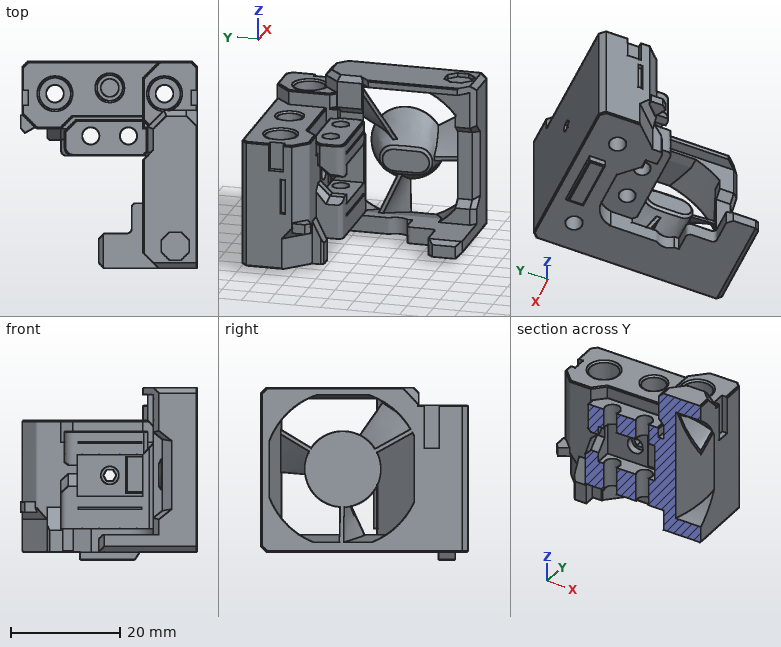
import cadquery as cq

WIDTH = 32.05
DEPTH = 37.9
HEIGHT = 30.1
EDGE_CHAMFER = 1.02
SMALL_CHAMFER = 0.23

BODY_TOP = 24.1
BODY_FRONT = 25.6
CORNER_CUT = 2.6
CORNER_FILLET = 0.75
RAISED_TOP = 26.87
RAISED_LEFT = 22.1
RAISED_CORNER = 3.05
RAISED_FRONT_CORNER = 1.5
BASE_CUT = 4.55
BASE_CUT_TOP = 5.95
BASE_CUT_APEX = 8.15

RECESS_LEFT = 9.35
RECESS_BACK = 29.3
RECESS_SLOPE = 3.25
RECESS_RADIUS = 4.45

SCREW_LEFT_X = 6.0
SCREW_RIGHT_X = 26.05
SCREW_Y = 32.0
SCREW_DIAMETER = 3.2
HEAD_DIAMETER = 5.8
HEAD_SEAT_LEFT = 15.9
HEAD_SEAT_RIGHT = 23.2
RIM_CHAMFER = 0.35
BORE_X = 16.05
BORE_Y = 33.05
BORE_DIAMETER = 4.7
BORE_INNER_DIAMETER = 3.3
BORE_DEPTH = 5.7
BORE_INNER_DEPTH = 1.15

FOOT_LEFT = 4.55
FOOT_RIGHT = 7.4
FOOT_FRONT = 23.5
FOOT_FRONT_TOP = 4.0
FOOT_TOP = 8.22
FOOT_CHAMFER = 0.45
TAB_LEFT = -0.3
TAB_REAR = 28.05
TAB_BEVEL_Y = 25.7
TAB_TIP_X = 0.5
TAB_TIP_Y = 24.8
TAB_BOTTOM = 7.3
TAB_TOP = 9.17
BAR_LEFT = 10.55
BAR_RIGHT = 21.53
BAR_SLOPE = 0.95
BAR_HEIGHT = 1.5
BAR_REAR = 35.6
BAR_WIDTH = 3.1

NOTCH_WIDTH = 2.73
NOTCH_DEPTH = 1.1
NOTCH_Y = 31.23
NOTCH_BOTTOM = 18.95
SLIT_Y = 29.52
SLIT_WIDTH = 0.9
SLIT_BOTTOM = 10.75
SLIT_HEIGHT = 6.6
SLIT_DEPTH = 0.75

CLAMP_LEFT = 7.1
CLAMP_UPPER_LEFT = 7.75
CLAMP_RIGHT = 24.0
CLAMP_UPPER_RIGHT = 22.95
CLAMP_FRONT = 20.6
CLAMP_BOTTOM = 4.3
CLAMP_TOP = 22.15
CLAMP_MIDDLE = 14.02
CLAMP_LOWER_FILLET = 1.0
CLAMP_UPPER_FILLET = 1.5
CLAMP_CORNER = 0.72
PILLAR_TOP = 19.9
SHELF_BACK = 27.75
GROOVE_BOTTOM = 20.1
GROOVE_WIDTH = 0.55
GROOVE_CORNER_LEFT = 2.1
GROOVE_CORNER_RIGHT = 0.9
POCKET_LEFT = 10.1
POCKET_RIGHT = RAISED_LEFT
POCKET_BOTTOM = 10.25
POCKET_TOP = 17.8
POCKET_BACK = 26.53
MOUTH_BOTTOM = 12.05
MOUTH_REAR_BOTTOM = 14.3
MOUTH_TOP = 15.9
MOUTH_SLOPE_Y = 23.3
FLARE_START = 8.4
FLARE_LOWER = 1.2
FLARE_UPPER = 1.0
FLARE_SHIFT = 0.38
PAD_LEFT = 18.95
PAD_BOTTOM = 10.75
PAD_TOP = 17.45
PAD_THICKNESS = 0.6
CLAMP_HOLE_DIAMETER = 3.1
CLAMP_HOLES_X = (12.55, 19.45)
CLAMP_HOLE_Y = 24.25
CLAMP_SLIT_HEIGHT = 0.35
CLAMP_SLIT_LEFT = 10.25
CLAMP_SLIT_LENGTH = 11.6
CLAMP_SLITS_Z = (8.0, 20.05)
CROSS_HOLE_Z = 14.02
CROSS_HOLE_HEX = 2.35
CROSS_HOLE_SEAT = 3.3
CROSS_HOLE_SEAT_DEPTH = 1.5

FRAME_LEFT = CLAMP_RIGHT
FRAME_REAR = 28.9
FLOOR_TOP = 3.2
CEILING = 28.1
ROOF_LEFT = RAISED_LEFT
ROOF_UNDERSIDE = 28.8
ROOF_REAR = 21.68
ROOF_CORNER = 1.85
ROOF_REAR_SLOPE = 3.05
ROOF_REAR_CORNER = 3.37
COLUMN_LEFT = CLAMP_UPPER_RIGHT
COLUMN_RIGHT = 28.27
COLUMN_SIDE_REAR = 25.92
COLUMN_UNDERSIDE_LEFT = 25.1
COLUMN_UNDERSIDE_RIGHT = 22.95
POST_DEPTH = 3.8
POST_CORNER_X = 25.0
POST_NOTCH_X = 25.62
POST_NOTCH_LOW = 7.55
POST_NOTCH_HIGH = 20.6
POST_NOTCH_FRONT_X = 27.35
POST_NOTCH_FRONT_LOW = 7.85
POST_NOTCH_FRONT_HIGH = 20.3
POST_NOTCH_SLOPE = 0.8
ARM_LEFT = 14.0
ARM_DEPTH = 6.45
ARM_END_CHAMFER = 0.85
STEP_LEFT = 20.0
STEP_DEPTH = 11.98
STEP_FILLET = 0.85
SCOOP_X = 22.0
SCOOP_Y = 14.63
SCOOP_RADIUS = 2.65
SCOOP_FILLET = 1.15
FAN_Y = 14.97
FAN_Z = 15.15
FAN_RADIUS = 14.4
FAN_REAR_INNER = 21.22
FUNNEL_START = 26.08
EXIT_FRONT = 1.5
EXIT_REAR = 28.05
EXIT_FLOOR = 1.8
EXIT_CEILING = 28.8
HUB_RADIUS = 6.97
CAP_X = 25.0
CAP_Y = 13.45
CAP_Z = 14.1
CAP_LENGTH = 9.78
CAP_HEIGHT = 5.05
CAP_CHAMFER = 0.45
VANE_COUNT = 3
VANE_X = 26.53
VANE_THICKNESS = 0.75
VANE_LENGTH = 15.9
VANE_FRONT_ANGLE = 55.0
VANE_REAR_ANGLE = 29.0
OCTAGON_X = 28.0
OCTAGON_Y = 4.1
OCTAGON_FLATS = 5.15
OCTAGON_DEPTH = 0.75


def box(x0, x1, y0, y1, z0, z1):
    """Box between two corner positions."""
    return cq.Workplane("XY").box(x1 - x0, y1 - y0, z1 - z0, centered=False).translate((x0, y0, z0))


def plan(points, z0, z1):
    """Vertical prism with the given XY outline."""
    return cq.Workplane("XY").workplane(offset=z0).polyline(points).close().extrude(z1 - z0)


def front_prism(points, y0, y1):
    """Prism along Y with the given XZ outline."""
    return cq.Workplane("XZ").workplane(offset=-y1).polyline(points).close().extrude(y1 - y0)


def side(points, x0, x1):
    """Prism along X with the given YZ outline."""
    return cq.Workplane("YZ").workplane(offset=x0).polyline(points).close().extrude(x1 - x0)


def corners(u0, u1, v0, v1):
    """Corner points of a rectangle in order around it."""
    return [(u0, v0), (u1, v0), (u1, v1), (u0, v1)]


def tetrahedron(*points):
    """Solid with four corner points."""
    faces = []
    for skipped in points:
        triangle = [cq.Vector(p) for p in points if p != skipped]
        faces.append(cq.Face.makeFromWires(cq.Wire.makePolygon(triangle, close=True)))
    return cq.Workplane(cq.Solid.makeSolid(cq.Shell.makeShell(faces)))


def cylinder(x, y, z0, z1, diameter):
    """Vertical cylinder."""
    return cq.Workplane("XY").workplane(offset=z0).center(x, y).circle(diameter / 2).extrude(z1 - z0)


def rear_block():
    """Main block, its taller right part and the cuts along its lower front."""
    right_rear = [(WIDTH, DEPTH - EDGE_CHAMFER), (WIDTH - EDGE_CHAMFER, DEPTH)]
    outline = [
        (0, BODY_FRONT + CORNER_CUT),
        (CORNER_CUT, BODY_FRONT),
        (WIDTH, BODY_FRONT),
        *right_rear,
        (EDGE_CHAMFER, DEPTH),
        (0, DEPTH - EDGE_CHAMFER),
    ]
    block = plan(outline, 0, BODY_TOP)
    corner = cq.selectors.NearestToPointSelector((CORNER_CUT, BODY_FRONT, BODY_TOP / 2))
    block = block.edges(corner).fillet(CORNER_FILLET)

    shelf = [
        (CLAMP_LEFT, BODY_FRONT),
        (CLAMP_LEFT + SHELF_BACK - BODY_FRONT, SHELF_BACK),
        (RAISED_LEFT, SHELF_BACK),
        (RAISED_LEFT, BODY_FRONT),
    ]
    block = block.cut(plan(shelf, GROOVE_BOTTOM, BODY_TOP))
    block = block.faces("<Z or >Z").chamfer(SMALL_CHAMFER)

    raised = [
        (RAISED_LEFT, BODY_FRONT + RAISED_FRONT_CORNER),
        (RAISED_LEFT + RAISED_FRONT_CORNER, BODY_FRONT),
        (WIDTH, BODY_FRONT),
        *right_rear,
        (RAISED_LEFT + RAISED_CORNER, DEPTH),
        (RAISED_LEFT, DEPTH - RAISED_CORNER),
    ]
    block = block.union(plan(raised, SMALL_CHAMFER, RAISED_TOP).faces(">Z").chamfer(SMALL_CHAMFER))

    wide = [(0, BODY_FRONT), (BASE_CUT, BODY_FRONT), (0, BODY_FRONT + BASE_CUT)]
    narrow = [(0, BODY_FRONT), (CORNER_CUT, BODY_FRONT), (0, BODY_FRONT + CORNER_CUT)]
    base_cut = plan(wide, 0, BASE_CUT_TOP)
    slope = (
        cq.Workplane("XY").workplane(offset=BASE_CUT_TOP).polyline(wide).close()
        .workplane(offset=BASE_CUT_APEX - BASE_CUT_TOP).polyline(narrow).close()
        .loft(ruled=True)
    )
    return block.cut(base_cut).cut(slope)


def base_recess():
    """Recess under the clamp, with a sloped left end and a rounded right end."""
    left = RECESS_LEFT
    clearance = 1.15
    front = BODY_FRONT - clearance
    back = RECESS_BACK
    radius = RECESS_RADIUS
    diagonal = radius * 0.5 ** 0.5
    return (
        cq.Workplane("XY")
        .moveTo(left, front)
        .lineTo(left, back - RECESS_SLOPE)
        .lineTo(left + RECESS_SLOPE, back)
        .lineTo(CLAMP_RIGHT - radius, back)
        .threePointArc(
            (CLAMP_RIGHT - radius + diagonal, back - radius + diagonal),
            (CLAMP_RIGHT, back - radius),
        )
        .lineTo(CLAMP_RIGHT, front)
        .close()
        .extrude(CLAMP_BOTTOM)
    )


def front_foot():
    """Sloped foot beside the clamp and the small tab on the left corner."""
    joint = BODY_FRONT + 0.38
    profile = [
        (joint, 0),
        (FOOT_FRONT, 0),
        (FOOT_FRONT, FOOT_FRONT_TOP),
        (BODY_FRONT, FOOT_TOP),
        (joint, FOOT_TOP),
    ]
    foot = side(profile, FOOT_LEFT, FOOT_RIGHT)
    foot = foot.edges("|Z and <X and <Y").chamfer(FOOT_CHAMFER)
    tab_outline = [
        (TAB_LEFT, TAB_REAR),
        (TAB_LEFT, TAB_BEVEL_Y),
        (TAB_TIP_X, TAB_TIP_Y),
        (CORNER_CUT, joint),
        (TAB_TIP_X, TAB_REAR),
    ]
    return foot.union(plan(tab_outline, TAB_BOTTOM, TAB_TOP))


def locating_bar():
    """Bar below the block with one sloped end."""
    joint = 0.38
    profile = [
        (BAR_LEFT, joint),
        (BAR_LEFT, -BAR_HEIGHT),
        (BAR_RIGHT - BAR_SLOPE, -BAR_HEIGHT),
        (BAR_RIGHT, 0),
        (BAR_RIGHT, joint),
    ]
    bar = front_prism(profile, BAR_REAR - BAR_WIDTH, BAR_REAR)
    return bar.faces("<Z").chamfer(SMALL_CHAMFER)


def clamp():
    """Clamp body, and the C-shaped opening to cut from it towards the front and the left."""
    back = SHELF_BACK
    lower = box(CLAMP_LEFT, CLAMP_RIGHT, CLAMP_FRONT, back, CLAMP_BOTTOM, CLAMP_MIDDLE)
    lower = lower.edges("|Z and <X and <Y").fillet(CLAMP_LOWER_FILLET)
    lower = lower.edges("|Z and >X and <Y").chamfer(CLAMP_CORNER)
    upper_back = back - GROOVE_WIDTH
    upper = box(CLAMP_UPPER_LEFT, CLAMP_UPPER_RIGHT, CLAMP_FRONT, upper_back, CLAMP_MIDDLE, CLAMP_TOP)
    upper = upper.edges("|Z and <X and >Y").chamfer(GROOVE_CORNER_LEFT)
    upper = upper.edges("|Z and >X and >Y").chamfer(GROOVE_CORNER_RIGHT)
    upper = upper.edges("|Z and <X and <Y").fillet(CLAMP_UPPER_FILLET)
    upper = upper.edges("|Z and >X and <Y").chamfer(CLAMP_CORNER)
    upper = upper.faces(">Z").chamfer(SMALL_CHAMFER)
    wall = box(RAISED_LEFT, CLAMP_RIGHT, CLAMP_FRONT + CLAMP_CORNER, back, CLAMP_MIDDLE, GROOVE_BOTTOM)
    web = box(CLAMP_UPPER_LEFT, RAISED_LEFT, BODY_FRONT, back, CLAMP_MIDDLE, GROOVE_BOTTOM)
    pillar_outline = [
        (RAISED_LEFT, CLAMP_MIDDLE),
        (RAISED_LEFT, POCKET_TOP),
        (CLAMP_RIGHT, PILLAR_TOP),
        (CLAMP_RIGHT, CLAMP_MIDDLE),
    ]
    pillar = front_prism(pillar_outline, CLAMP_FRONT, back)
    pillar = pillar.edges("|Z and >X and <Y").chamfer(CLAMP_CORNER)
    body = lower.union(upper).union(wall).union(web).union(pillar)

    pocket = box(POCKET_LEFT, POCKET_RIGHT, CLAMP_FRONT, POCKET_BACK, POCKET_BOTTOM, POCKET_TOP)
    mouth_outline = [
        (CLAMP_FRONT, MOUTH_BOTTOM),
        (MOUTH_SLOPE_Y, MOUTH_BOTTOM),
        (BODY_FRONT, MOUTH_REAR_BOTTOM),
        (BODY_FRONT, POCKET_TOP),
        (MOUTH_SLOPE_Y, MOUTH_TOP),
        (CLAMP_FRONT, MOUTH_TOP),
    ]
    flared_outline = [
        (CLAMP_FRONT, MOUTH_BOTTOM - FLARE_LOWER),
        (MOUTH_SLOPE_Y + FLARE_SHIFT, MOUTH_BOTTOM - FLARE_LOWER),
        (BODY_FRONT, MOUTH_REAR_BOTTOM - FLARE_LOWER),
        (BODY_FRONT, POCKET_TOP + FLARE_UPPER),
        (MOUTH_SLOPE_Y - FLARE_SHIFT, MOUTH_TOP + FLARE_UPPER),
        (CLAMP_FRONT, MOUTH_TOP + FLARE_UPPER),
    ]
    mouth = side(mouth_outline, CLAMP_LEFT, POCKET_LEFT)
    flare = tapered((FLARE_START, mouth_outline), (CLAMP_LEFT, flared_outline))
    mouth = mouth.union(flare)
    return body, pocket.union(mouth)


def clamp_cuts():
    """Vertical clamp holes and thin front slits."""
    cuts = cq.Workplane("XY")
    for x in CLAMP_HOLES_X:
        cuts = cuts.union(cylinder(x, CLAMP_HOLE_Y, 0, CLAMP_TOP, CLAMP_HOLE_DIAMETER))
    for z in CLAMP_SLITS_Z:
        bottom = z - CLAMP_SLIT_HEIGHT / 2
        slit = box(0, CLAMP_SLIT_LENGTH, 0, SLIT_DEPTH, 0, CLAMP_SLIT_HEIGHT)
        cuts = cuts.union(slit.translate((CLAMP_SLIT_LEFT, CLAMP_FRONT, bottom)))
    return cuts


def clamp_pad():
    """Raised pad on the pocket back."""
    pad = box(PAD_LEFT, POCKET_RIGHT, POCKET_BACK - PAD_THICKNESS, POCKET_BACK, PAD_BOTTOM, PAD_TOP)
    return pad.faces("<Y").edges("<X or <Z").chamfer(SMALL_CHAMFER)


def cross_hole():
    """Hexagonal hole through the block with a round seat in the pocket."""
    axis = cq.Workplane("XZ").center(BORE_X, CROSS_HOLE_Z)
    hexagon = axis.workplane(offset=-DEPTH).polygon(6, CROSS_HOLE_HEX).extrude(DEPTH - POCKET_BACK)
    seat = (
        axis.workplane(offset=-POCKET_BACK - CROSS_HOLE_SEAT_DEPTH)
        .circle(CROSS_HOLE_SEAT / 2).extrude(CROSS_HOLE_SEAT_DEPTH)
    )
    return hexagon.union(seat)


def rim(x, y, top, diameter):
    """Cone that chamfers the rim of a hole."""
    return (
        cq.Workplane("XY").workplane(offset=top - RIM_CHAMFER).center(x, y)
        .circle(diameter / 2).workplane(offset=RIM_CHAMFER).circle(diameter / 2 + RIM_CHAMFER).loft()
    )


def block_holes():
    """Counterbored screw holes and the blind centre bore."""
    cuts = cq.Workplane("XY")
    for x, seat, top in (
        (SCREW_LEFT_X, HEAD_SEAT_LEFT, BODY_TOP),
        (SCREW_RIGHT_X, HEAD_SEAT_RIGHT, RAISED_TOP),
    ):
        cuts = cuts.union(cylinder(x, SCREW_Y, 0, top, SCREW_DIAMETER))
        cuts = cuts.union(cylinder(x, SCREW_Y, seat, top, HEAD_DIAMETER))
        cuts = cuts.union(rim(x, SCREW_Y, top, HEAD_DIAMETER))
    floor = BODY_TOP - BORE_DEPTH
    cuts = cuts.union(cylinder(BORE_X, BORE_Y, floor, BODY_TOP, BORE_DIAMETER))
    cuts = cuts.union(cylinder(BORE_X, BORE_Y, floor - BORE_INNER_DEPTH, floor, BORE_INNER_DIAMETER))
    return cuts.union(rim(BORE_X, BORE_Y, BODY_TOP, BORE_DIAMETER))


def side_cuts():
    """Notch at the top of each side face and the slit in the left face."""
    y0 = NOTCH_Y - NOTCH_WIDTH / 2
    y1 = NOTCH_Y + NOTCH_WIDTH / 2
    left = box(0, NOTCH_DEPTH, y0, y1, NOTCH_BOTTOM, BODY_TOP)
    right = box(WIDTH - NOTCH_DEPTH, WIDTH, y0, y1, NOTCH_BOTTOM, RAISED_TOP)
    slit = box(0, SLIT_DEPTH, SLIT_Y, SLIT_Y + SLIT_WIDTH, SLIT_BOTTOM, SLIT_BOTTOM + SLIT_HEIGHT)
    return left.union(right).union(slit)


def frame():
    """Plain fan frame with its roof overhang and the column towards the block."""
    c = EDGE_CHAMFER
    profile = [
        (c, 0), (FRAME_REAR, 0), (FRAME_REAR, HEIGHT - c), (FRAME_REAR - c, HEIGHT),
        (c, HEIGHT), (0, HEIGHT - c), (0, c),
    ]
    shell = side(profile, FRAME_LEFT, WIDTH).faces(">X").chamfer(SMALL_CHAMFER)
    roof_profile = [
        (0, ROOF_UNDERSIDE),
        (ROOF_REAR, ROOF_UNDERSIDE),
        (ROOF_REAR, HEIGHT),
        (c, HEIGHT),
        (0, HEIGHT - c),
    ]
    roof = side(roof_profile, ROOF_LEFT, FRAME_LEFT)
    roof = roof.edges("|Z and <X and >Y").chamfer(ROOF_CORNER)
    roof = roof.edges("|Y and <X and >Z").chamfer(SMALL_CHAMFER)
    shell = shell.union(roof)

    front_corner = POST_CORNER_X - ROOF_LEFT
    front_left = [(ROOF_LEFT, 0), (POST_CORNER_X, 0), (ROOF_LEFT, front_corner)]
    shell = shell.cut(plan(front_left, FLOOR_TOP, HEIGHT))
    rear_corner = ROOF_REAR_CORNER
    rear_left = [
        (FRAME_LEFT, FRAME_REAR),
        (FRAME_LEFT + rear_corner, FRAME_REAR),
        (FRAME_LEFT, FRAME_REAR - rear_corner),
    ]
    shell = shell.cut(plan(rear_left, RAISED_TOP, HEIGHT))

    point = (WIDTH, FRAME_REAR, RAISED_TOP)
    along_rear = (WIDTH - ROOF_REAR_SLOPE, FRAME_REAR, HEIGHT)
    along_side = (WIDTH, FRAME_REAR - ROOF_REAR_SLOPE, HEIGHT)
    top_corner = (WIDTH, FRAME_REAR, HEIGHT)
    shell = shell.cut(tetrahedron(point, along_rear, along_side, top_corner))

    column_outline = [
        (COLUMN_LEFT, FAN_REAR_INNER),
        (COLUMN_LEFT, COLUMN_SIDE_REAR),
        (COLUMN_LEFT + FRAME_REAR - COLUMN_SIDE_REAR, FRAME_REAR),
        (COLUMN_RIGHT, FRAME_REAR),
        (COLUMN_RIGHT, FAN_REAR_INNER),
    ]
    column = plan(column_outline, CLAMP_TOP, HEIGHT)
    column = column.faces(">Z").edges("not (>X or <Y)").chamfer(c)
    return shell.union(column)


def notch_outline(depth_x, low, high):
    """Trapezoid from the left side of the post with short sloped ends."""
    rise = POST_NOTCH_SLOPE * (depth_x - FRAME_LEFT)
    return [(FRAME_LEFT, low - rise), (depth_x, low), (depth_x, high), (FRAME_LEFT, high + rise)]


def post_notch():
    """Notch in the left side of the front post, widening towards the front."""
    inner = notch_outline(POST_NOTCH_X, POST_NOTCH_LOW, POST_NOTCH_HIGH)
    outer = notch_outline(POST_NOTCH_FRONT_X, POST_NOTCH_FRONT_LOW, POST_NOTCH_FRONT_HIGH)
    straight = front_prism(inner, EDGE_CHAMFER, POST_DEPTH)
    flare = (
        cq.Workplane("XZ").workplane(offset=-EDGE_CHAMFER).polyline(inner).close()
        .workplane(offset=EDGE_CHAMFER).polyline(outer).close().loft(ruled=True)
    )
    return straight.union(flare)


def tapered(start, end):
    """Solid with flat sides between two (x, YZ outline) sections."""
    return (
        cq.Workplane("YZ").workplane(offset=start[0]).polyline(start[1]).close()
        .workplane(offset=end[0] - start[0]).polyline(end[1]).close()
        .loft(ruled=True)
    )


def fan_opening():
    """Round opening clipped flat on four sides, which spread towards the right face."""
    round_part = (
        cq.Workplane("YZ").workplane(offset=FRAME_LEFT).center(FAN_Y, FAN_Z)
        .circle(FAN_RADIUS).extrude(WIDTH - FRAME_LEFT)
    )
    rear_slope = (EXIT_REAR - FAN_REAR_INNER) / (WIDTH - FRAME_LEFT)
    rear_at_funnel = FAN_REAR_INNER + rear_slope * (FUNNEL_START - FRAME_LEFT)
    entry = (FRAME_LEFT, corners(POST_DEPTH, FAN_REAR_INNER, FLOOR_TOP, CEILING))
    funnel = (FUNNEL_START, corners(POST_DEPTH, rear_at_funnel, FLOOR_TOP, CEILING))
    outlet = (WIDTH, corners(EXIT_FRONT, EXIT_REAR, EXIT_FLOOR, EXIT_CEILING))
    return round_part.intersect(tapered(entry, funnel).union(tapered(funnel, outlet)))


def floor_scoop():
    """Round scoop in the left edge of the floor behind the arm."""
    return cylinder(SCOOP_X, SCOOP_Y, 0, FLOOR_TOP, 2 * SCOOP_RADIUS)


def floor_arm():
    """Floor arm to the left of the post."""
    joint = FRAME_LEFT + 0.38
    end = EDGE_CHAMFER
    outline = [
        (ARM_LEFT + end, 0),
        (joint, 0),
        (joint, STEP_DEPTH),
        (STEP_LEFT, STEP_DEPTH),
        (STEP_LEFT, ARM_DEPTH),
        (ARM_LEFT + end, ARM_DEPTH),
        (ARM_LEFT, ARM_DEPTH - end),
        (ARM_LEFT, end),
    ]
    arm = plan(outline, 0, FLOOR_TOP)
    for y in (STEP_DEPTH, ARM_DEPTH):
        step_edge = cq.selectors.NearestToPointSelector((STEP_LEFT, y, FLOOR_TOP / 2))
        arm = arm.edges(step_edge).fillet(STEP_FILLET)
    arm = arm.faces("<X").edges(">Z").chamfer(ARM_END_CHAMFER)
    front_bevel = side([(0, 0), (EDGE_CHAMFER, 0), (0, EDGE_CHAMFER)], ARM_LEFT, joint)
    return arm.cut(front_bevel)


def vane_outline(x, y, z, angle):
    """Thin rectangle across X that runs outwards from (y, z) at an angle to +Y."""
    return (
        cq.Workplane("YZ").rect(VANE_LENGTH, VANE_THICKNESS)
        .val().translate(cq.Vector(0, VANE_LENGTH / 2, 0))
        .rotate(cq.Vector(0, 0, 0), cq.Vector(1, 0, 0), angle)
        .translate(cq.Vector(x, y, z))
    )


def vane_room():
    """Space that the vanes fill: the fan opening with a little overlap into its walls."""
    overlap = 0.2
    tube = (
        cq.Workplane("YZ").workplane(offset=VANE_X).center(FAN_Y, FAN_Z)
        .circle(FAN_RADIUS + overlap).extrude(WIDTH - VANE_X)
    )
    clip = box(VANE_X, WIDTH, POST_DEPTH - overlap, EXIT_REAR, EXIT_FLOOR - overlap, EXIT_CEILING + overlap)
    return tube.intersect(clip)


def hub_and_vanes():
    """Hub that tapers to an oblong cap, held by twisted vanes."""
    depth = WIDTH - CAP_X
    vanes = cq.Workplane("XY")
    for i in range(VANE_COUNT):
        turn = i * 360 / VANE_COUNT
        front = vane_outline(VANE_X, CAP_Y, CAP_Z, VANE_FRONT_ANGLE + turn)
        rear = vane_outline(WIDTH, FAN_Y, FAN_Z, VANE_REAR_ANGLE + turn)
        vanes = vanes.union(cq.Workplane(cq.Solid.makeLoft([front, rear], True)))
    hub = (
        cq.Workplane("YZ").workplane(offset=CAP_X).center(CAP_Y, CAP_Z).slot2D(CAP_LENGTH, CAP_HEIGHT)
        .workplane(offset=depth).center(FAN_Y - CAP_Y, FAN_Z - CAP_Z).circle(HUB_RADIUS).loft()
    )
    hub = hub.faces("<X").chamfer(CAP_CHAMFER)
    return vanes.intersect(vane_room()).union(hub)


def octagon_pocket():
    """Shallow octagonal pocket in the roof."""
    return (
        cq.Workplane("XY").workplane(offset=HEIGHT - OCTAGON_DEPTH).center(OCTAGON_X, OCTAGON_Y)
        .polygon(8, OCTAGON_FLATS, circumscribed=True).extrude(OCTAGON_DEPTH)
    )


def column_underside():
    """Sloped underside of the column, above the groove beside the clamp."""
    wedge = [
        (RAISED_LEFT, CLAMP_TOP),
        (CLAMP_RIGHT, CLAMP_TOP),
        (CLAMP_RIGHT, COLUMN_UNDERSIDE_RIGHT),
        (RAISED_LEFT, COLUMN_UNDERSIDE_LEFT),
    ]
    return front_prism(wedge, CLAMP_FRONT, BODY_FRONT)


clamp_body, clamp_opening = clamp()
block = rear_block().union(clamp_body).cut(clamp_opening).cut(base_recess()).union(clamp_pad())
block = block.cut(fan_opening())

fan_side = frame().cut(fan_opening()).cut(post_notch()).cut(floor_scoop())
scoop_end_y = SCOOP_Y + (SCOOP_RADIUS**2 - (FRAME_LEFT - SCOOP_X) ** 2) ** 0.5
scoop_end = cq.selectors.NearestToPointSelector((FRAME_LEFT, scoop_end_y, FLOOR_TOP / 2))
fan_side = fan_side.edges(scoop_end).fillet(SCOOP_FILLET)
fan_side = fan_side.union(floor_arm())

result = block.union(fan_side).cut(column_underside())
result = result.union(front_foot()).union(locating_bar()).union(hub_and_vanes())
result = result.cut(clamp_cuts()).cut(cross_hole()).cut(block_holes())
result = result.cut(side_cuts()).cut(octagon_pocket())